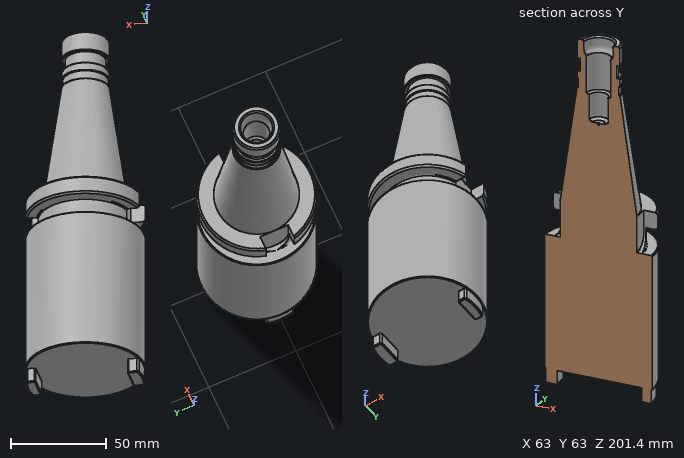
import cadquery as cq
import math


gauge_radius = 44.45 / 2
taper_slope = 7 / 24 / 2
shank_height = 93.4
taper_height = 65.4
taper_top_radius = gauge_radius - taper_height * taper_slope

foot_radius = 22.4
foot_chamfer_height = 0.7

relief_radius = 12.0
pilot_radius = 12.5
groove_radius = 10.7
ring_bottom = 70.2
ring_top = 75.1
ring_chamfer = 0.4
collar_bottom = 82.1
collar_chamfer = 0.9
groove_edge_chamfer = 0.5

body_radius = 31.5
flange_top = -1.6
flange_thickness = 10.0
flange_bottom = flange_top - flange_thickness
flange_chamfer = 1.0
neck_radius = 25.0
neck_length = 11.0
neck_fillet = 0.6
body_top = flange_bottom - neck_length
body_bottom = -100.0
body_chamfer = 0.5

slot_width = 16.1
slot_floor = 22.5

key_width = 16.0
key_height = 8.0
key_outer_radius = 31.0
left_key_inner = 24.0
right_key_inner = 25.0
key_corner_chamfer = 0.8
key_end_chamfer = 0.6

rim_chamfer = 0.9
counterbore_radius = 8.4
counterbore_depth = 5.6
recess_radius = 8.1
recess_depth = 6.8
core_radius = 6.9
cone_half_angle = math.radians(30)
cone_depth = recess_depth + (recess_radius - core_radius) / math.tan(cone_half_angle)
core_depth = 30.0
drill_radius = 5.4
drill_depth = 45.0
drill_tip_half_angle = math.radians(60)
core_cone_depth = core_depth + (core_radius - drill_radius) / math.tan(drill_tip_half_angle)
floor_radius = 3.4
floor_depth = drill_depth + (drill_radius - floor_radius) / math.tan(drill_tip_half_angle)
centre_hole_radius = 0.3
centre_hole_depth = 1.0


def turned_body():
    """Revolve the outer half profile, from the bottom face up to the drawbar end."""
    profile = (
        cq.Workplane("XZ")
        .moveTo(0, body_bottom)
        .lineTo(body_radius - body_chamfer, body_bottom)
        .lineTo(body_radius, body_bottom + body_chamfer)
        .lineTo(body_radius, body_top - body_chamfer)
        .lineTo(body_radius - body_chamfer, body_top)
        .lineTo(neck_radius + neck_fillet, body_top)
        .radiusArc((neck_radius, body_top + neck_fillet), neck_fillet)
        .lineTo(neck_radius, flange_bottom - neck_fillet)
        .radiusArc((neck_radius + neck_fillet, flange_bottom), neck_fillet)
        .lineTo(body_radius - flange_chamfer, flange_bottom)
        .lineTo(body_radius, flange_bottom + flange_chamfer)
        .lineTo(body_radius, flange_top - flange_chamfer)
        .lineTo(body_radius - flange_chamfer, flange_top)
        .lineTo(foot_radius, flange_top)
        .lineTo(foot_radius, -foot_chamfer_height)
        .lineTo(gauge_radius, 0)
        .lineTo(taper_top_radius, taper_height)
        .lineTo(relief_radius, taper_height)
        .lineTo(relief_radius, ring_bottom)
        .lineTo(pilot_radius - ring_chamfer, ring_bottom)
        .lineTo(pilot_radius, ring_bottom + ring_chamfer)
        .lineTo(pilot_radius, ring_top - groove_edge_chamfer)
        .lineTo(pilot_radius - groove_edge_chamfer, ring_top)
        .lineTo(groove_radius, ring_top)
        .lineTo(groove_radius, collar_bottom)
        .lineTo(pilot_radius - groove_edge_chamfer, collar_bottom)
        .lineTo(pilot_radius, collar_bottom + groove_edge_chamfer)
        .lineTo(pilot_radius, shank_height - collar_chamfer)
        .lineTo(pilot_radius - collar_chamfer, shank_height)
        .lineTo(0, shank_height)
        .close()
    )
    return profile.revolve(360, (0, 0, 0), (0, 1, 0))


def drawbar_bore():
    """Revolve the stepped blind bore that opens at the drawbar end."""
    profile = (
        cq.Workplane("XZ")
        .moveTo(0, shank_height)
        .lineTo(counterbore_radius + rim_chamfer, shank_height)
        .lineTo(counterbore_radius, shank_height - rim_chamfer)
        .lineTo(counterbore_radius, shank_height - counterbore_depth)
        .lineTo(recess_radius, shank_height - recess_depth)
        .lineTo(core_radius, shank_height - cone_depth)
        .lineTo(core_radius, shank_height - core_depth)
        .lineTo(drill_radius, shank_height - core_cone_depth)
        .lineTo(drill_radius, shank_height - drill_depth)
        .lineTo(floor_radius, shank_height - floor_depth)
        .lineTo(centre_hole_radius, shank_height - floor_depth)
        .lineTo(centre_hole_radius, shank_height - floor_depth - centre_hole_depth)
        .lineTo(0, shank_height - floor_depth - centre_hole_depth)
        .close()
    )
    return profile.revolve(360, (0, 0, 0), (0, 1, 0))


def drive_slot(side):
    """Round-ended slot, open upward and outward; side is -1 or 1 along X."""
    half_width = slot_width / 2
    arc_centre = body_top + half_width
    return (
        cq.Workplane("YZ", origin=(side * slot_floor, 0, 0))
        .moveTo(-half_width, flange_top)
        .lineTo(-half_width, arc_centre)
        .threePointArc((0, body_top), (half_width, arc_centre))
        .lineTo(half_width, flange_top)
        .close()
        .extrude(side * (body_radius - slot_floor))
    )


def drive_key(side, inner):
    """Key under the body with a flat inner face and a round outer face."""
    depth = key_outer_radius - inner
    key = (
        cq.Workplane("XY", origin=(0, 0, body_bottom - key_height))
        .center(side * (inner + depth / 2), 0)
        .rect(depth, key_width)
        .extrude(key_height)
    )
    envelope = (
        cq.Workplane("XY", origin=(0, 0, body_bottom - key_height))
        .circle(key_outer_radius)
        .extrude(key_height)
    )
    key = key.intersect(envelope)
    key = key.edges("|Z").chamfer(key_corner_chamfer)
    return key.faces("<Z").edges().chamfer(key_end_chamfer)


result = turned_body().cut(drawbar_bore())
for side, key_inner in ((-1, left_key_inner), (1, right_key_inner)):
    result = result.cut(drive_slot(side)).union(drive_key(side, key_inner))